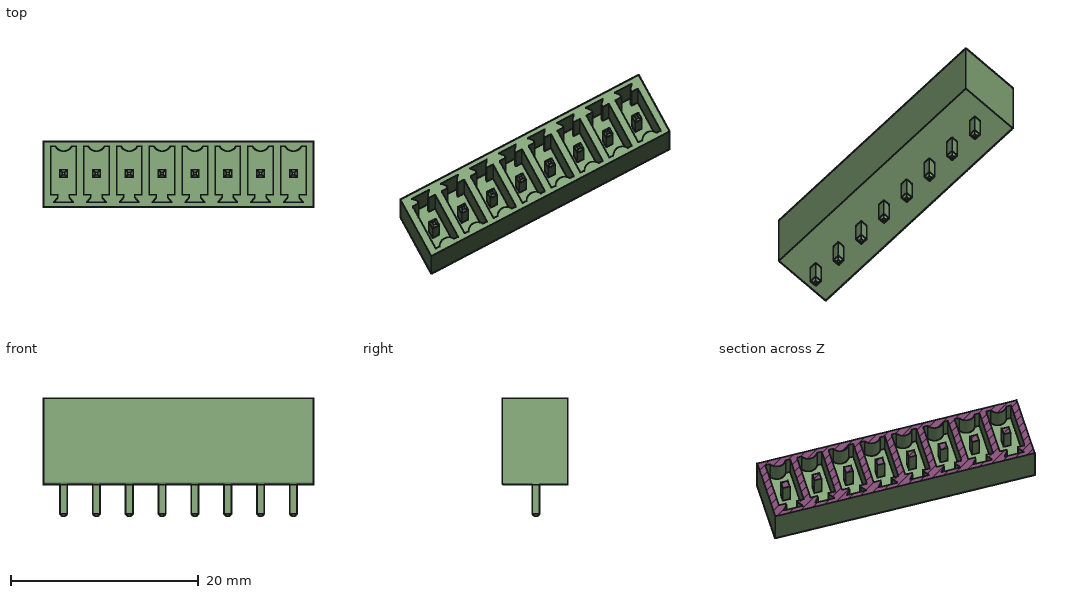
import cadquery as cq

length = 28.8
depth = 7.0
body_height = 9.22
edge_radius = 0.2

pole_count = 8
end_margin = 2.15
pitch = (length - 2 * end_margin) / (pole_count - 1)
pin_y = 3.6
pole_positions = [(end_margin + i * pitch, pin_y) for i in range(pole_count)]

pocket_depth = 7.2
pocket_width = 2.7
wall = 0.52
pocket_front_y = 1.3
pocket_back_y = depth - wall

key_neck_width = 1.2
key_mouth_width = 2.07
key_shoulder_y = 1.05
key_front_y = wall

rib_width = 1.73
rib_height = 0.52

pin_size = 0.8
pin_tail = 3.37
pin_top_gap = 2.02
pin_chamfer = 0.25


def make_housing():
    """Block with its base at Z = 0 and a small round on the lower front edge."""
    block = cq.Workplane("XY").box(length, depth, body_height, centered=False)
    return block.edges("<Y and <Z").fillet(edge_radius)


def make_pocket():
    """Pocket centred on X = 0, with its keyway in front and the rib left standing at the back."""
    half_width = pocket_width / 2
    half_neck = key_neck_width / 2
    half_mouth = key_mouth_width / 2
    half_rib = rib_width / 2
    return (
        cq.Workplane("XY", origin=(0, 0, body_height - pocket_depth))
        .moveTo(-half_mouth, key_front_y)
        .lineTo(half_mouth, key_front_y)
        .lineTo(half_neck, key_shoulder_y)
        .lineTo(half_neck, pocket_front_y)
        .lineTo(half_width, pocket_front_y)
        .lineTo(half_width, pocket_back_y)
        .lineTo(half_rib, pocket_back_y)
        .threePointArc((0, pocket_back_y - rib_height), (-half_rib, pocket_back_y))
        .lineTo(-half_width, pocket_back_y)
        .lineTo(-half_width, pocket_front_y)
        .lineTo(-half_neck, pocket_front_y)
        .lineTo(-half_neck, key_shoulder_y)
        .close()
        .extrude(pocket_depth)
    )


def make_pin():
    """Square pin on the Z axis, passing through the pocket floor, chamfered at both ends."""
    pin_length = body_height - pin_top_gap + pin_tail
    return (
        cq.Workplane("XY", origin=(0, 0, -pin_tail))
        .rect(pin_size, pin_size)
        .extrude(pin_length)
        .faces("<Z or >Z")
        .chamfer(pin_chamfer)
    )


result = make_housing()
pocket = make_pocket()
pin = make_pin()
for x, y in pole_positions:
    result = result.cut(pocket.translate((x, 0, 0)))
    result = result.union(pin.translate((x, y, 0)))